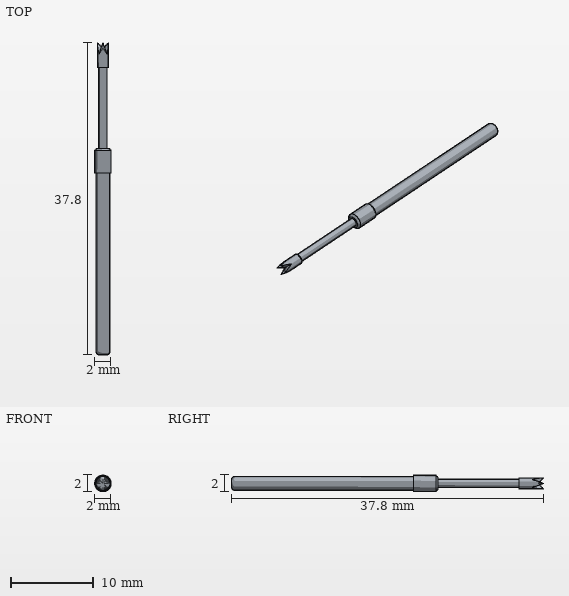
import cadquery as cq
import math

length = 37.8
tail_y = -length / 2
tip_y = length / 2

barrel_diameter = 1.7
barrel_length = 22.05
tail_round = 0.4
collar_diameter = 2.0
collar_length = 3.0
collar_chamfer = 0.25

plunger_diameter = 1.02
head_diameter = 1.32
head_length = 3.0

tooth_count = 4
center_depth = 0.65
notch_depth = 1.32
cutter_length = 4 * head_diameter
cutter_height = 3 * head_diameter


def cylinder(diameter, start_y, end_y):
    """Cylinder along Y from start_y to end_y."""
    face = cq.Workplane("XZ", origin=(0, end_y, 0)).circle(diameter / 2)
    return face.extrude(end_y - start_y)


def notch_cutter(angle):
    """V-shaped prism whose sloping bottom edge runs outward at the given angle."""
    head_radius = head_diameter / 2
    half_tooth_pitch = math.pi / tooth_count
    fall = math.atan2(notch_depth - center_depth, head_radius)
    tooth_across = head_radius * math.sin(half_tooth_pitch)
    tooth_along = head_radius * math.cos(half_tooth_pitch)
    tooth_rise = center_depth + tooth_along * math.tan(fall)
    wall_slope = tooth_rise * math.cos(fall) / tooth_across
    half_width = cutter_height / wall_slope

    bottom_direction = cq.Vector(
        math.cos(fall) * math.cos(angle),
        -math.sin(fall),
        math.cos(fall) * math.sin(angle),
    )
    across_direction = cq.Vector(math.sin(angle), 0, -math.cos(angle))
    section_plane = cq.Plane(
        origin=(0, tip_y - center_depth, 0),
        xDir=across_direction,
        normal=bottom_direction,
    )
    section = cq.Workplane(section_plane).polyline(
        [(0, 0), (half_width, cutter_height), (-half_width, cutter_height)]
    ).close()
    return section.extrude(cutter_length / 2, both=True)


collar_start = tail_y + barrel_length
collar_end = collar_start + collar_length
barrel = cylinder(barrel_diameter, tail_y, collar_start).faces("<Y").edges().fillet(tail_round)
collar = cylinder(collar_diameter, collar_start, collar_end).faces(">Y").edges().chamfer(collar_chamfer)

head_start = tip_y - head_length
plunger = cylinder(plunger_diameter, collar_end, head_start)
head = cylinder(head_diameter, head_start, tip_y)
for index in range(tooth_count):
    head = head.cut(notch_cutter(2 * math.pi * (index + 0.5) / tooth_count))

result = barrel.union(collar).union(plunger).union(head)